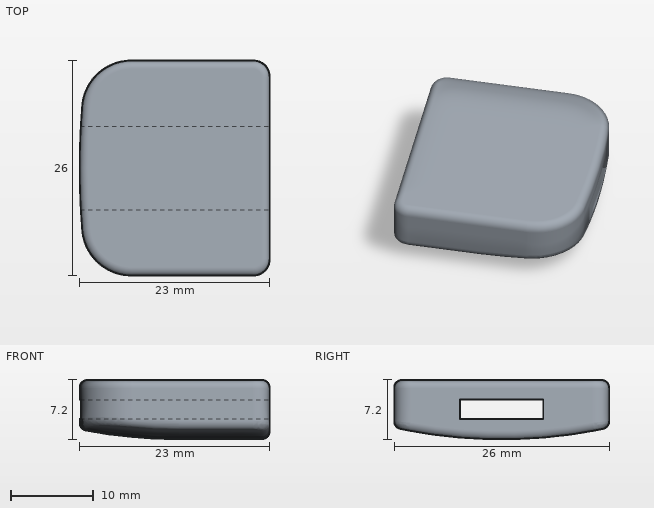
import cadquery as cq
import math

width = 26.0
length = 22.98
height = 7.2
half_width = width / 2

front_corner_radius = 6.0
rear_corner_radius = 2.0
bow_radius = 91.0
edge_fillet = 1.0

dome_radius = 60.05
dome_start = 12.0

slot_width = 10.04
slot_height = 2.35
slot_floor = 2.47


def plan_outline():
    """Closed outline with the bow apex at X = 0, symmetric about Y = 0."""
    corner_y = half_width - front_corner_radius
    center_distance = bow_radius - front_corner_radius
    corner_x = bow_radius - math.sqrt(center_distance**2 - corner_y**2)
    bow_angle = math.asin(corner_y / center_distance)
    bow_end_x = bow_radius * (1 - math.cos(bow_angle))
    bow_end_y = bow_radius * math.sin(bow_angle)
    mid_angle = (bow_angle + math.pi / 2) / 2
    mid_x = corner_x - front_corner_radius * math.cos(mid_angle)
    mid_y = corner_y + front_corner_radius * math.sin(mid_angle)
    rear_x = length - rear_corner_radius
    rear_y = half_width - rear_corner_radius
    rear_mid = rear_corner_radius * math.sqrt(0.5)
    return (
        cq.Workplane("XY")
        .moveTo(bow_end_x, -bow_end_y)
        .threePointArc((0, 0), (bow_end_x, bow_end_y))
        .threePointArc((mid_x, mid_y), (corner_x, half_width))
        .lineTo(rear_x, half_width)
        .threePointArc((rear_x + rear_mid, rear_y + rear_mid), (length, rear_y))
        .lineTo(length, -rear_y)
        .threePointArc((rear_x + rear_mid, -rear_y - rear_mid), (rear_x, -half_width))
        .lineTo(corner_x, -half_width)
        .threePointArc((mid_x, -mid_y), (bow_end_x, -bow_end_y))
        .close()
    )


def dome():
    """Round-nosed bar along X whose lowest line lies on Z = 0."""
    nose = dome_radius * math.sqrt(0.5)
    return (
        cq.Workplane("XZ", origin=(dome_start, 0, dome_radius))
        .moveTo(-dome_radius, 0)
        .threePointArc((-nose, nose), (0, dome_radius))
        .lineTo(length, dome_radius)
        .lineTo(length, 0)
        .close()
        .revolve(360, (0, 0, 0), (1, 0, 0))
    )


def slot():
    return (
        cq.Workplane("XY")
        .box(length, slot_width, slot_height, centered=(False, True, False))
        .translate((0, 0, slot_floor))
    )


body = plan_outline().extrude(height).intersect(dome())
body = body.faces(">Z").edges().fillet(edge_fillet)
rim = [
    edge
    for edge in body.edges().vals()
    if edge.BoundingBox().zmax < height / 2
    and edge.BoundingBox().ymax - edge.BoundingBox().ymin < width - edge_fillet
]
body = body.newObject(rim).fillet(edge_fillet)
result = body.cut(slot())